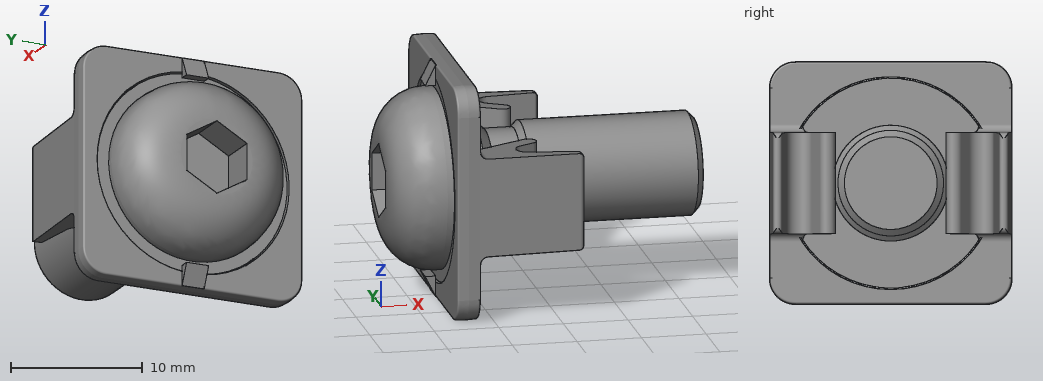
import cadquery as cq
import math

cage_front = 4.22
bearing_face = 4.4
parting_plane = 5.08
cage_back = 5.98
overall_length = 24.4

head_radius = 7.0
crown_radius = 3.0
dome_length = 3.9
shoulder_radius = 4.4
shoulder_end = 7.37
neck_radius = 3.51
thread_radius = 4.0
thread_start = 10.47
thread_chamfer = thread_radius - neck_radius
hex_across_flats = 5.03
hex_depth = 3.25

washer_radius = 7.95
cage_bore_radius = 8.05

cage_side = 18.4
cage_corner_radius = 2.0
cage_draft = 3.0
cage_edge_radius = 0.15
cage_half_side = cage_side / 2
cage_back_half_side = cage_half_side - (cage_back - parting_plane) * math.tan(math.radians(cage_draft))

tab_width = 1.85
tab_tip_x = 3.42
tab_inner_z = 7.52
tab_outer_z = 9.13

arm_end_x = 14.08
arm_end_outer_y = 8.88
arm_end_inner_y = 8.27
arm_end_side_round = 0.3
arm_end_height_round = 0.45
arm_root_half_height = 3.85
arm_end_half_height = 3.8
arm_root_flare = 0.59
crook_radius = 0.98
finger_angle = 29.0
finger_radius = 0.6
finger_length = 4.42
finger_end_x = 10.6
finger_end_y = 4.8


def make_screw():
    """Button-head screw with a shoulder, an undercut neck and a hexagon socket."""
    profile = (
        cq.Workplane("XZ")
        .polyline([
            (0, 0),
            (overall_length, 0),
            (overall_length, neck_radius),
            (overall_length - thread_chamfer, thread_radius),
            (thread_start + thread_chamfer, thread_radius),
            (thread_start, neck_radius),
            (shoulder_end + shoulder_radius - neck_radius, neck_radius),
            (shoulder_end, shoulder_radius),
            (bearing_face, shoulder_radius),
            (bearing_face, head_radius),
            (dome_length, head_radius),
        ])
        .tangentArcPoint((0, crown_radius), relative=False)
        .close()
    )
    body = profile.revolve(360, (0, 0, 0), (1, 0, 0))
    hex_across_corners = hex_across_flats / math.cos(math.radians(30))
    socket = (
        cq.Workplane("YZ")
        .transformed(rotate=(0, 0, 90))
        .polygon(6, hex_across_corners)
        .extrude(hex_depth)
    )
    return body.cut(socket)


def make_washer():
    """Flat washer on the shoulder, between the head and the cage arms."""
    return (
        cq.Workplane("YZ", origin=(bearing_face, 0, 0))
        .circle(washer_radius)
        .circle(shoulder_radius)
        .extrude(cage_back - bearing_face)
    )


def make_plate():
    """Square plate drafted both ways from the parting plane, bored for the washer."""
    outline = cq.Sketch().rect(cage_side, cage_side).vertices().fillet(cage_corner_radius)
    parting = cq.Workplane("YZ", origin=(parting_plane, 0, 0)).placeSketch(outline)
    front_half = parting.extrude(cage_front - parting_plane, taper=cage_draft)
    back_half = parting.extrude(cage_back - parting_plane, taper=cage_draft)
    front_half = front_half.faces("<X").edges().fillet(cage_edge_radius)
    rounded_back = back_half.faces(">X").edges().fillet(cage_edge_radius)

    straight_length = cage_side - 2 * cage_corner_radius
    arm_side_band = cq.Workplane("XY", origin=(parting_plane, 0, 0)).box(
        overall_length, cage_side, straight_length
    )
    z_side_core = cq.Workplane("XY", origin=(parting_plane, 0, 0)).box(
        overall_length, straight_length, cage_side
    )
    sharp_edges = back_half.intersect(arm_side_band).cut(z_side_core)

    bore = cq.Workplane("YZ").circle(cage_bore_radius).extrude(overall_length)
    return front_half.union(rounded_back).union(sharp_edges).cut(bore)


def make_tab():
    """Wedge tab on the +Z edge that overhangs the rim of the washer and is rooted in the plate."""
    return (
        cq.Workplane("XZ")
        .polyline([
            (cage_front, tab_outer_z),
            (tab_tip_x, tab_inner_z),
            (cage_front, tab_inner_z),
            (cage_front, cage_bore_radius),
            (bearing_face, cage_bore_radius),
            (bearing_face, tab_outer_z),
        ])
        .close()
        .extrude(tab_width / 2, both=True)
    )


def make_arm():
    """Forked arm on the +Y side: a long outer prong and a slanted inner finger."""
    slant = math.radians(finger_angle)
    along = (math.cos(slant), -math.sin(slant))
    across = (math.sin(slant), math.cos(slant))
    finger_top = (finger_end_x + finger_radius * across[0], finger_end_y + finger_radius * across[1])
    finger_tip = (finger_end_x + finger_radius * along[0], finger_end_y + finger_radius * along[1])
    finger_bottom = (finger_end_x - finger_radius * across[0], finger_end_y - finger_radius * across[1])
    crook = (finger_top[0] - finger_length * along[0], finger_top[1] - finger_length * along[1])
    root_inner_y = finger_bottom[1] + (finger_bottom[0] - cage_back) * math.tan(slant)

    fork = (
        cq.Workplane("XY")
        .moveTo(cage_back, cage_back_half_side)
        .lineTo(arm_end_x, arm_end_outer_y)
        .lineTo(arm_end_x, arm_end_inner_y)
        .lineTo(*crook)
        .lineTo(*finger_top)
        .threePointArc(finger_tip, finger_bottom)
        .lineTo(cage_back, root_inner_y)
        .close()
        .extrude(cage_half_side, both=True)
        .edges(cq.NearestToPointSelector((crook[0], crook[1], 0)))
        .fillet(crook_radius)
        .faces(">X")
        .edges("|Z")
        .fillet(arm_end_side_round)
    )

    flare_end = cage_back + arm_root_flare
    flare_half_height = arm_root_half_height + arm_root_flare
    flare_mid = arm_root_flare * (1 - math.sqrt(0.5))
    side_outline = (
        cq.Workplane("XZ")
        .moveTo(cage_back, -flare_half_height)
        .threePointArc(
            (cage_back + flare_mid, -arm_root_half_height - flare_mid),
            (flare_end, -arm_root_half_height),
        )
        .lineTo(arm_end_x, -arm_end_half_height)
        .lineTo(arm_end_x, arm_end_half_height)
        .lineTo(flare_end, arm_root_half_height)
        .threePointArc(
            (cage_back + flare_mid, arm_root_half_height + flare_mid),
            (cage_back, flare_half_height),
        )
        .close()
        .extrude(cage_side, both=True)
        .faces(">X")
        .edges("|Y")
        .fillet(arm_end_height_round)
    )
    return fork.intersect(side_outline)


def make_cage():
    """Plate with a pair of tabs in front and a pair of forked arms behind."""
    cage = make_plate()
    tab = make_tab()
    arm = make_arm()
    for half_turn in (0, 180):
        cage = cage.union(tab.rotate((0, 0, 0), (1, 0, 0), half_turn))
        cage = cage.union(arm.rotate((0, 0, 0), (1, 0, 0), half_turn))
    return cage


screw = make_screw()
washer = make_washer()
cage = make_cage()

result = cq.Compound.makeCompound([body.solids().val() for body in (screw, washer, cage)])